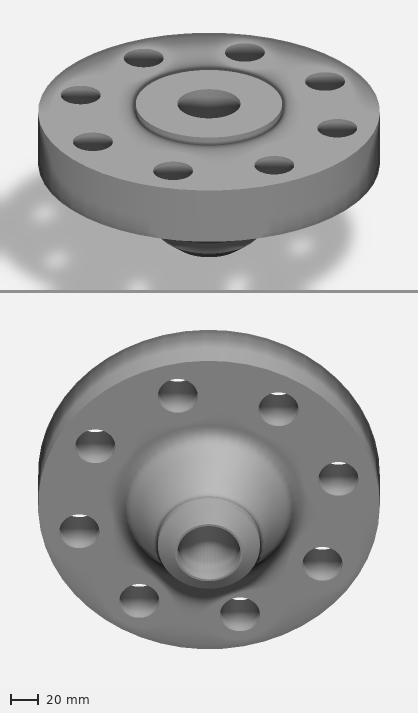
import cadquery as cq
import math

flange_diameter = 244.475
flange_thickness = 41.3
overall_height = 111.125

raised_face_diameter = 104.8
raised_face_height = 6.35

hub_base_diameter = 124.0
hub_fillet_radius = 9.5
neck_diameter = 73.0
neck_length = 8.0
bore_diameter = 45.2

weld_land_width = 1.6
weld_bevel_angle = 37.5

bolt_count = 8
bolt_hole_diameter = 28.575
bolt_circle_diameter = 190.5

top_z = overall_height
flange_top_z = top_z - raised_face_height
flange_bottom_z = flange_top_z - flange_thickness

flange_radius = flange_diameter / 2
raised_face_radius = raised_face_diameter / 2
hub_base_radius = hub_base_diameter / 2
neck_radius = neck_diameter / 2
bore_radius = bore_diameter / 2
land_radius = bore_radius + weld_land_width

bevel_height = (neck_radius - land_radius) * math.tan(math.radians(weld_bevel_angle))
hub_start_z = bevel_height + neck_length


def make_body():
    """Revolve the flange, hub, neck and bore from one half section."""
    section = (
        cq.Workplane("XZ")
        .moveTo(bore_radius, 0)
        .lineTo(land_radius, 0)
        .lineTo(neck_radius, bevel_height)
        .lineTo(neck_radius, hub_start_z)
        .lineTo(hub_base_radius, flange_bottom_z)
        .lineTo(flange_radius, flange_bottom_z)
        .lineTo(flange_radius, flange_top_z)
        .lineTo(raised_face_radius, flange_top_z)
        .lineTo(raised_face_radius, top_z)
        .lineTo(bore_radius, top_z)
        .close()
    )
    return section.revolve(360, (0, 0, 0), (0, 1, 0))


def fillet_hub_base(body):
    """Blend the hub cone into the underside of the flange."""
    second_largest = cq.selectors.RadiusNthSelector(-2)
    hub_base_edge = body.edges("%CIRCLE").edges(second_largest)
    return hub_base_edge.fillet(hub_fillet_radius)


def cut_bolt_holes(body):
    """Drill the ring of through holes, the first one on the +X axis."""
    holes = (
        cq.Workplane("XY", origin=(0, 0, flange_bottom_z))
        .polarArray(bolt_circle_diameter / 2, 0, 360, bolt_count)
        .circle(bolt_hole_diameter / 2)
        .extrude(flange_thickness)
    )
    return body.cut(holes)


body = make_body()
body = fillet_hub_base(body)
result = cut_bolt_holes(body)